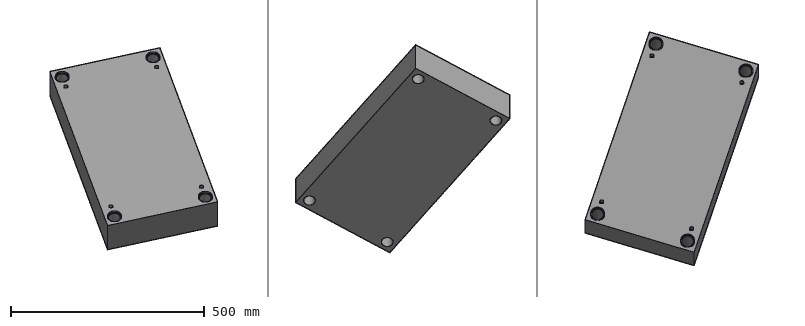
import cadquery as cq
import math

length = 545.5
width = 296.0
height = 96.0

bolt_spacing_x = 494.0
bolt_spacing_y = 244.0
bolt_diameter = 30.0
counterbore_diameter = 36.0
counterbore_depth = 6.0

pilot_spacing_x = 424.0
pilot_spacing_y = bolt_spacing_y
pilot_diameter = 10.5
pilot_depth = 20.0
drill_point_angle = 118


def drilled_hole_cutter():
    """Blind hole opening at the origin, with a conical bottom."""
    radius = pilot_diameter / 2
    point_height = radius / math.tan(math.radians(drill_point_angle / 2))
    return (
        cq.Workplane("XZ")
        .polyline([(0, 0), (radius, 0), (radius, -pilot_depth), (0, -pilot_depth - point_height)])
        .close()
        .revolve(360, (0, 0), (0, 1))
    )


block = cq.Workplane("XY").box(length, width, height, centered=(True, True, False))

with_bolt_holes = (
    block.faces(">Z").workplane()
    .rarray(bolt_spacing_x, bolt_spacing_y, 2, 2)
    .cboreHole(bolt_diameter, counterbore_diameter, counterbore_depth)
)

pilot_cutter = drilled_hole_cutter().val()
result = (
    with_bolt_holes.faces(">Z").workplane()
    .rarray(pilot_spacing_x, pilot_spacing_y, 2, 2)
    .cutEach(lambda location: pilot_cutter.moved(location))
)